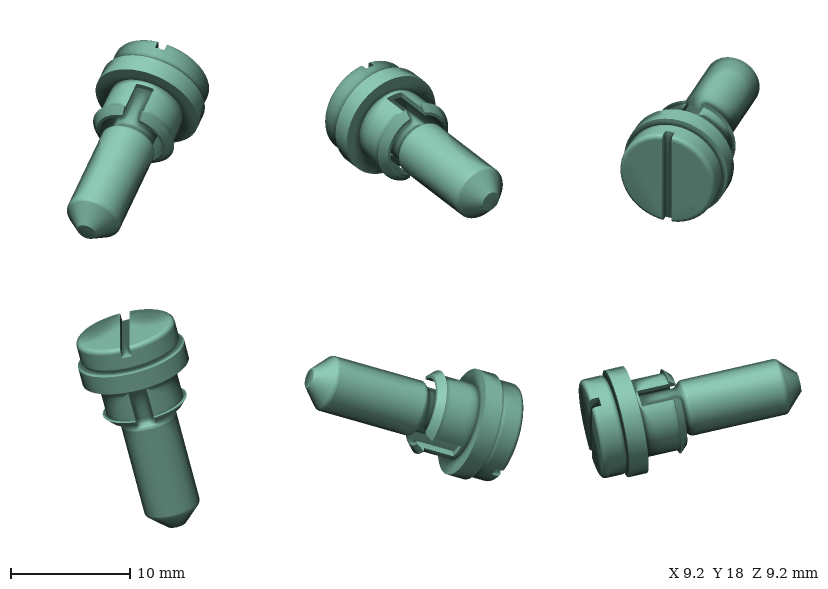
import cadquery as cq


length = 18.03
head_diameter = 8.5
head_height = 2.11
head_rounding = 0.4
drive_slot_width = 0.83
drive_slot_depth = 0.83
neck_diameter = 3.71
shank_diameter = 4.78
shank_shoulder_depth = 8.19
tip_diameter = 1.7
shank_rounding = 0.36

flange_diameter = 9.2
flange_top_depth = 2.24
flange_bottom_depth = 3.82
sleeve_diameter = 6.6
bore_diameter = 5.59
barb_diameter = 7.27
barb_depth = 6.96
barb_end_diameter = 6.13
bush_end_depth = 7.57
split_width = 1.57
split_start_depth = 4.24


def revolve_about_y(profile):
    """Turn a list of (diameter, depth) points into a solid of revolution about Y."""
    points = [(diameter / 2, -depth) for diameter, depth in profile]
    return cq.Workplane("XY").polyline(points).close().revolve(360, (0, 0), (0, 1))


def round_circle(body, diameter, depth, rounding):
    """Fillet the circular edge of the given diameter centred on the axis at the given depth."""
    tolerance = 0.002
    matching_edges = body.edges("%CIRCLE").filter(
        lambda edge: abs(edge.radius() - diameter / 2) < tolerance
        and abs(edge.arcCenter().y + depth) < tolerance
    )
    return matching_edges.fillet(rounding)


def cross_slot(width, start_depth, end_depth):
    """Box that cuts a slot of the given width right across the part along Z."""
    slot_length = end_depth - start_depth
    middle_depth = (start_depth + end_depth) / 2
    return cq.Workplane("XY").box(width, slot_length, flange_diameter).translate((0, -middle_depth, 0))


def make_screw():
    neck_end_depth = shank_shoulder_depth - (shank_diameter - neck_diameter) / 2
    tip_cone_depth = length - (shank_diameter - tip_diameter) / 2
    screw = revolve_about_y([
        (0, 0),
        (head_diameter, 0),
        (head_diameter, head_height),
        (neck_diameter, head_height),
        (neck_diameter, neck_end_depth),
        (shank_diameter, shank_shoulder_depth),
        (shank_diameter, tip_cone_depth),
        (tip_diameter, length),
        (0, length),
    ])
    for depth in (0, head_height):
        screw = round_circle(screw, head_diameter, depth, head_rounding)
    for diameter, depth in (
        (neck_diameter, neck_end_depth),
        (shank_diameter, shank_shoulder_depth),
        (shank_diameter, tip_cone_depth),
    ):
        screw = round_circle(screw, diameter, depth, shank_rounding)
    return screw.cut(cross_slot(drive_slot_width, 0, drive_slot_depth))


def make_bush():
    bush = revolve_about_y([
        (bore_diameter, flange_top_depth),
        (flange_diameter, flange_top_depth),
        (flange_diameter, flange_bottom_depth),
        (sleeve_diameter, flange_bottom_depth),
        (sleeve_diameter, barb_depth),
        (barb_diameter, barb_depth),
        (barb_end_diameter, bush_end_depth),
        (bore_diameter, bush_end_depth),
    ])
    return bush.cut(cross_slot(split_width, split_start_depth, bush_end_depth))


screw = make_screw()
bush = make_bush()
result = cq.Compound.makeCompound([screw.val(), bush.val()])